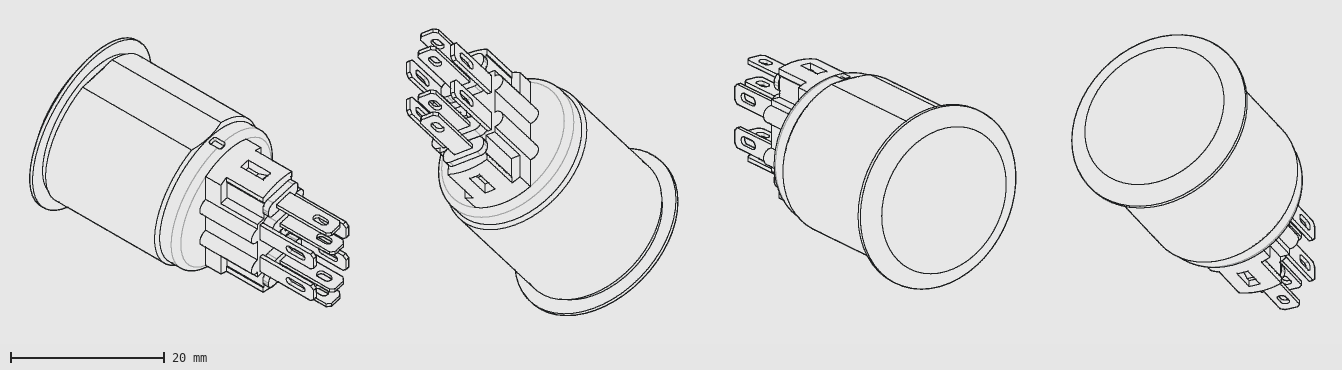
import cadquery as cq
import math


FACE_RADIUS = 10.0
BEZEL_RADIUS = 12.5
BEZEL_RIM_X = 1.3
BEZEL_BACK_X = 1.8
COLLAR_RADIUS = 10.4
BARREL_RADIUS = 10.9
BARREL_FLAT_Z = 10.45
BARREL_FRONT_X = 2.7
BARREL_BACK_X = 21.2
BARREL_CHAMFER = 0.45
COLLAR_BACK_X = 24.0
COLLAR_FILLET = 0.9

POCKET_X = 21.6
POCKET_LENGTH = 1.95
POCKET_WIDTH = 1.35
POCKET_DEPTH = 0.5
POCKET_TAPER = 20
POCKET_CORNER_RADIUS = 0.3

HOUSING_RADIUS = 9.5
HOUSING_HALF_WIDTH = 4.25
HOUSING_BACK_X = 32.55
RIDGE_RADIUS = 1.2
RIDGE_Y = 4.3
RIDGE_Z = 2.95
NOTCH_X = 26.5
NOTCH_FLOOR_Z = 5.0
NOTCH_HALF_WIDTH = 2.9
LIP_Z = 8.08
LIP_HALF_WIDTH = 3.04

WINDOW_X = 27.1
WINDOW_RAMP_X = 28.8
WINDOW_LEDGE_X = 30.2
WINDOW_END_X = 30.8
WINDOW_WIDTH = 1.55
WINDOW_DEEP = 1.5
WINDOW_SHALLOW = 0.9

PAD_LENGTH = 6.2
PAD_WIDTH = 2.4
PAD_CORNER_RADIUS = 1.0
OUTER_PAD_HEIGHT = 0.95
INNER_PAD_HEIGHT = 1.55
CROSS_LENGTH = 2.75
CROSS_WIDTH = 0.92
CROSS_HEIGHT = OUTER_PAD_HEIGHT

TERMINAL_THICKNESS = 0.57
TERMINAL_WIDTH = 2.8
TERMINAL_CHAMFER = 0.5
TERMINAL_ROOT = 1.0
EYE_WIDTH = 1.15
OUTER_TERMINAL_Z = 6.77
OUTER_TERMINAL_END_X = 42.2
INNER_TERMINAL_Z = 3.56
INNER_TERMINAL_END_X = 42.8
FLAT_EYE_LENGTH = 2.2
FLAT_EYE_SETBACK = 2.5
SIDE_TERMINAL_Y = 3.42
SIDE_TERMINAL_Z = 3.03
SIDE_TERMINAL_END_X = 41.45
SIDE_EYE_LENGTH = 3.1
SIDE_EYE_SETBACK = 3.0


def box_between(x, y, z):
    """Box from (low, high) pairs along each axis."""
    size = [high - low for low, high in (x, y, z)]
    return cq.Workplane("XY").box(*size, centered=False).translate((x[0], y[0], z[0]))


def make_barrel():
    """Bezel, neck, barrel and rear collar turned about X, with the flat on top."""
    arc_offset = COLLAR_FILLET * (1 - math.sqrt(0.5))
    profile = (
        cq.Workplane("XY")
        .moveTo(0, 0)
        .lineTo(0, FACE_RADIUS)
        .lineTo(BEZEL_RIM_X, BEZEL_RADIUS)
        .lineTo(BEZEL_BACK_X, BEZEL_RADIUS)
        .lineTo(BEZEL_BACK_X, COLLAR_RADIUS)
        .lineTo(BARREL_FRONT_X, COLLAR_RADIUS)
        .lineTo(BARREL_FRONT_X, BARREL_RADIUS)
        .lineTo(BARREL_BACK_X - BARREL_CHAMFER, BARREL_RADIUS)
        .lineTo(BARREL_BACK_X, COLLAR_RADIUS)
        .lineTo(COLLAR_BACK_X - COLLAR_FILLET, COLLAR_RADIUS)
        .threePointArc(
            (COLLAR_BACK_X - arc_offset, COLLAR_RADIUS - arc_offset),
            (COLLAR_BACK_X, COLLAR_RADIUS - COLLAR_FILLET),
        )
        .lineTo(COLLAR_BACK_X, 0)
        .close()
    )
    barrel = profile.revolve(360, (0, 0, 0), (1, 0, 0))
    above_flat = box_between(
        (BARREL_FRONT_X, BARREL_BACK_X),
        (-BARREL_RADIUS, BARREL_RADIUS),
        (BARREL_FLAT_Z, BARREL_RADIUS),
    )
    return barrel.cut(above_flat)


def make_index_pocket():
    """Small tapered pocket sunk into the top of the rear collar."""
    outline = cq.Sketch().rect(POCKET_LENGTH, POCKET_WIDTH).vertices().fillet(POCKET_CORNER_RADIUS)
    return (
        cq.Workplane("XY", origin=(POCKET_X + POCKET_LENGTH / 2, 0, COLLAR_RADIUS))
        .placeSketch(outline)
        .extrude(-POCKET_DEPTH, taper=POCKET_TAPER)
    )


def make_housing():
    """Round-topped housing with flat sides, side ridges, corner notches and latch windows."""
    x_range = (COLLAR_BACK_X, HOUSING_BACK_X)
    length = HOUSING_BACK_X - COLLAR_BACK_X
    section = cq.Workplane("YZ", origin=(COLLAR_BACK_X, 0, 0))
    side_range = (-HOUSING_HALF_WIDTH, HOUSING_HALF_WIDTH)
    slab = box_between(x_range, side_range, (-HOUSING_RADIUS, HOUSING_RADIUS))
    housing = section.circle(HOUSING_RADIUS).extrude(length).intersect(slab)

    ridges = (
        section.rect(2 * RIDGE_Y, 2 * RIDGE_Z, forConstruction=True)
        .vertices()
        .circle(RIDGE_RADIUS)
        .extrude(length)
    )
    housing = housing.union(ridges)

    notch_x = (NOTCH_X, HOUSING_BACK_X)
    notch = box_between(notch_x, (NOTCH_HALF_WIDTH, HOUSING_HALF_WIDTH), (NOTCH_FLOOR_Z, LIP_Z))
    beside_lip = box_between(notch_x, (LIP_HALF_WIDTH, HOUSING_HALF_WIDTH), (LIP_Z, HOUSING_RADIUS))
    for cutter in (notch.union(beside_lip), make_latch_window()):
        housing = cut_top_and_bottom(housing, cutter)
    return housing


def cut_top_and_bottom(body, cutter):
    """Cut with a cutter and its three mirror images in Y and Z."""
    both_sides = cutter.union(cutter.mirror("XZ"))
    return body.cut(both_sides).cut(both_sides.mirror("XY"))


def make_latch_window():
    """Window with a deep floor, a ramp rising rearward and a short ledge."""
    deep_z = HOUSING_RADIUS - WINDOW_DEEP
    shallow_z = HOUSING_RADIUS - WINDOW_SHALLOW
    return (
        cq.Workplane("XZ")
        .moveTo(WINDOW_X, HOUSING_RADIUS)
        .lineTo(WINDOW_X, deep_z)
        .lineTo(WINDOW_RAMP_X, deep_z)
        .lineTo(WINDOW_LEDGE_X, shallow_z)
        .lineTo(WINDOW_END_X, shallow_z)
        .lineTo(WINDOW_END_X, HOUSING_RADIUS)
        .close()
        .extrude(WINDOW_WIDTH / 2, both=True)
    )


def make_pads():
    """Rounded pads around the flat terminals and a central cross."""
    back = cq.Workplane("YZ", origin=(HOUSING_BACK_X, 0, 0))
    cross = back.rect(CROSS_LENGTH, CROSS_WIDTH).extrude(CROSS_HEIGHT)
    pads = cross.union(back.rect(CROSS_WIDTH, CROSS_LENGTH).extrude(CROSS_HEIGHT))
    for z, height in ((OUTER_TERMINAL_Z, OUTER_PAD_HEIGHT), (INNER_TERMINAL_Z, INNER_PAD_HEIGHT)):
        pair = back.pushPoints([(0, z), (0, -z)]).rect(PAD_LENGTH, PAD_WIDTH).extrude(height)
        pair = pair.edges("|X").fillet(PAD_CORNER_RADIUS)
        pads = pads.union(pair)
    return pads


def make_terminal(end_x, eye_length, eye_setback):
    """Terminal blade lying flat on the XY plane, with a slotted eye near its end."""
    root_x = HOUSING_BACK_X - TERMINAL_ROOT
    length = end_x - root_x
    blade = (
        cq.Workplane("XY", origin=(root_x + length / 2, 0, 0))
        .box(length, TERMINAL_WIDTH, TERMINAL_THICKNESS)
        .edges("|Z and >X")
        .chamfer(TERMINAL_CHAMFER)
    )
    eye = (
        cq.Workplane("XY", origin=(end_x - eye_setback, 0, 0))
        .slot2D(eye_length, EYE_WIDTH)
        .extrude(TERMINAL_THICKNESS, both=True)
    )
    return blade.cut(eye)


def make_terminals():
    """Four flat blades on the centre plane and four upright blades at the sides."""
    outer = make_terminal(OUTER_TERMINAL_END_X, FLAT_EYE_LENGTH, FLAT_EYE_SETBACK)
    inner = make_terminal(INNER_TERMINAL_END_X, FLAT_EYE_LENGTH, FLAT_EYE_SETBACK)
    side = make_terminal(SIDE_TERMINAL_END_X, SIDE_EYE_LENGTH, SIDE_EYE_SETBACK)
    upright = side.rotate((0, 0, 0), (1, 0, 0), 90)
    terminals = []
    for sign in (-1, 1):
        terminals.append(outer.translate((0, 0, sign * OUTER_TERMINAL_Z)))
        terminals.append(inner.translate((0, 0, sign * INNER_TERMINAL_Z)))
        for y in (-SIDE_TERMINAL_Y, SIDE_TERMINAL_Y):
            terminals.append(upright.translate((0, y, sign * SIDE_TERMINAL_Z)))
    return terminals


result = make_barrel().cut(make_index_pocket()).union(make_housing()).union(make_pads())
for terminal in make_terminals():
    result = result.union(terminal)